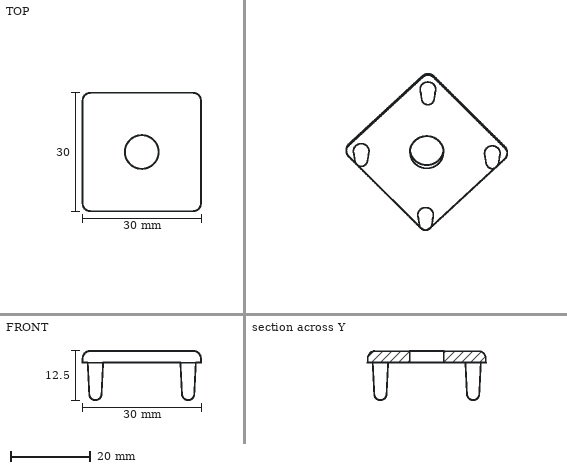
import cadquery as cq

plate_side = 30.0
plate_thickness = 3.0
edge_radius = 2.0
hole_diameter = 8.5

total_height = 12.5
pin_spacing = 23.45
pin_root_radius = 1.98
pin_tip_radius = 1.6

pin_length = total_height - plate_thickness
taper_length = pin_length - pin_tip_radius


def make_plate():
    """Plate with its top face at Z = plate_thickness, rounded on corners and top edges."""
    plate = cq.Workplane("XY").box(plate_side, plate_side, plate_thickness, centered=(True, True, False))
    plate = plate.edges("|Z or >Z").fillet(edge_radius)
    return plate.faces(">Z").workplane().hole(hole_diameter)


def make_pin():
    """Pin hanging down from Z = 0, a cone that ends in a hemisphere."""
    cone = cq.Solid.makeCone(
        pin_root_radius, pin_tip_radius, taper_length, cq.Vector(0, 0, 0), cq.Vector(0, 0, -1)
    )
    tip = cq.Workplane("XY").sphere(pin_tip_radius).translate((0, 0, -taper_length))
    return tip.union(cq.Workplane(obj=cone))


result = make_plate()
pin = make_pin()
for x in (-pin_spacing / 2, pin_spacing / 2):
    for y in (-pin_spacing / 2, pin_spacing / 2):
        result = result.union(pin.translate((x, y, 0)))